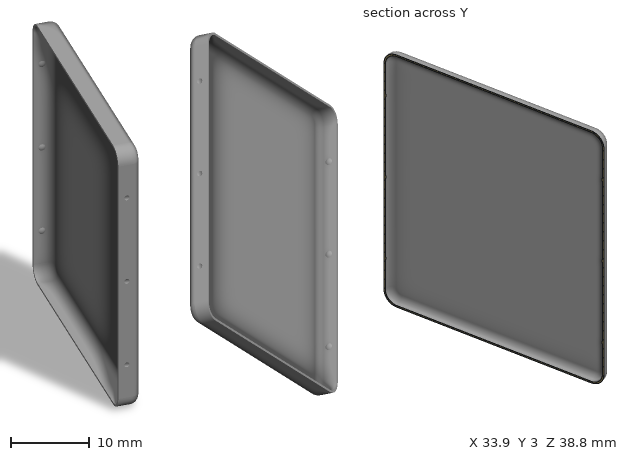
import cadquery as cq

width = 33.9
depth = 3.0
height = 38.8
wall = 0.3
corner_radius = 2.0
back_fillet = 1.1
rim_y = -depth / 2

dimple_radius = 0.35
dimple_depth = 0.15
ball_radius = (dimple_radius**2 + dimple_depth**2) / (2 * dimple_depth)
dimple_count = 3
dimple_pitch = 12.5
dimple_from_rim = 1.15


def rounded_block(inset, block_depth):
    """Block from the rim towards +Y, with rounded corners and a filleted back edge.

    The inset shrinks the outline and both radii, keeping the wall even.
    """
    block = (
        cq.Workplane("XZ", origin=(0, rim_y, 0))
        .rect(width - 2 * inset, height - 2 * inset)
        .extrude(-block_depth)
        .edges("|Y")
        .fillet(corner_radius - inset)
    )
    return block.faces(">Y").edges().fillet(back_fillet - inset)


def dimple_spots():
    """Middles of all dimples on the side faces, each with the outward X direction."""
    first_z = -dimple_pitch * (dimple_count - 1) / 2
    return [
        (outward, outward * width / 2, rim_y + dimple_from_rim, first_z + index * dimple_pitch)
        for outward in (-1, 1)
        for index in range(dimple_count)
    ]


def ball(radius, center):
    """Ball with its poles along Y, clear of the dimple's deepest point."""
    return cq.Workplane("XY").sphere(radius, direct=(0, 1, 0)).translate(center)


outer_block = rounded_block(0, depth)
result = outer_block.cut(rounded_block(wall, depth - wall))

for outward, spot_x, spot_y, spot_z in dimple_spots():
    ball_center = (spot_x + outward * (ball_radius - dimple_depth), spot_y, spot_z)
    bump = ball(ball_radius + wall, ball_center).intersect(outer_block)
    result = result.union(bump)
    result = result.cut(ball(ball_radius, ball_center))